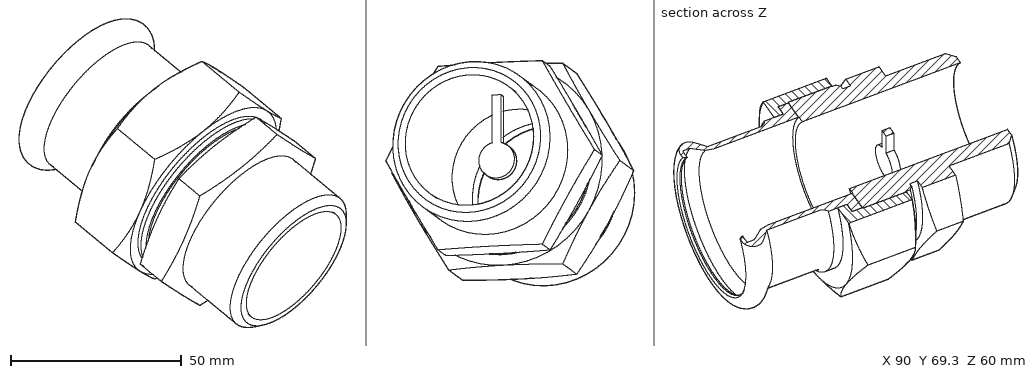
import cadquery as cq
import math


collar_start = 28.2
nut_start = 31.2
nut_lip_end = 34.2
joint = 37.8
nut_end = 52.2
rim_end = 54.5
hex_start = 57.0
hex_end = 68.0
total_length = 90.0

tube_diameter = 45.4
tube_bore = 42.3
collar_diameter = 48.0
collar_fillet_length = 2.2
bead_diameter = 53.0
bead_section_radius = 3.4
lip_diameter = 44.2
lip_taper_end = 0.9
mouth_diameter = 43.3
groove_diameter = 48.1
groove_start = 1.35
groove_end = 3.6
groove_cone_end = 7.2
bore_cone_end = 9.9

nut_flats = 60.0
adapter_flats = 54.9
nut_chamfer_angle = 30.0
adapter_chamfer_angle = 15.0
rim_diameter = 53.7
rim_chamfer = 1.1
neck_diameter = 49.8
spigot_diameter = 47.8
spigot_tip_diameter = 43.3
adapter_bore = 39.0

disc_diameter = 10.8
arm_width = 2.7
disc_thickness = 2.7
disc_start = hex_start


def cylinder(start, end, diameter):
    return cq.Workplane("YZ").workplane(offset=start).circle(diameter / 2).extrude(end - start)


def revolve_about_x(outline):
    return outline.close().revolve(360, (0, 0, 0), (1, 0, 0))


def chamfered_hexagon(start, end, flats, chamfer_angle):
    """Hexagon with corners on +Y and -Y; cones at chamfer_angle degrees from the end faces trim it."""
    corner_diameter = flats / math.cos(math.pi / 6)
    radial_chamfer = (corner_diameter - flats) / 2
    axial_chamfer = radial_chamfer * math.tan(math.radians(chamfer_angle))
    prism = cq.Workplane("YZ").workplane(offset=start).polygon(6, corner_diameter).extrude(end - start)
    envelope = revolve_about_x(
        cq.Workplane("XY")
        .moveTo(start, 0)
        .lineTo(start, flats / 2)
        .lineTo(start + axial_chamfer, corner_diameter / 2)
        .lineTo(end - axial_chamfer, corner_diameter / 2)
        .lineTo(end, flats / 2)
        .lineTo(end, 0)
    )
    return prism.intersect(envelope)


def make_tail():
    """Thin tube with a rolled bead and seal groove at its mouth and a flange held by the nut."""
    bead_center_radius = bead_diameter / 2 - bead_section_radius
    diagonal = bead_section_radius * math.sin(math.pi / 4)
    bead_cone_start = bead_section_radius + diagonal
    bead_cone_radius = bead_center_radius + diagonal
    bead_cone_end = bead_cone_start + bead_cone_radius - tube_diameter / 2
    mouth_radius = mouth_diameter / 2
    lip_drop = bead_center_radius - lip_diameter / 2
    lip_angle = math.asin(lip_drop / bead_section_radius)
    lip_start = bead_section_radius * (1 - math.cos(lip_angle))
    lip_middle_x = bead_section_radius * (1 - math.cos(lip_angle / 2))
    lip_middle_radius = bead_center_radius - bead_section_radius * math.sin(lip_angle / 2)
    return revolve_about_x(
        cq.Workplane("XY")
        .moveTo(lip_start, lip_diameter / 2)
        .threePointArc((lip_middle_x, lip_middle_radius), (0, bead_center_radius))
        .threePointArc((bead_section_radius - diagonal, bead_cone_radius), (bead_cone_start, bead_cone_radius))
        .lineTo(bead_cone_end, tube_diameter / 2)
        .lineTo(collar_start - collar_fillet_length, tube_diameter / 2)
        .tangentArcPoint((collar_start, collar_diameter / 2), relative=False)
        .lineTo(nut_lip_end, collar_diameter / 2)
        .lineTo(nut_lip_end, rim_diameter / 2)
        .lineTo(joint, rim_diameter / 2)
        .lineTo(joint, tube_bore / 2)
        .lineTo(bore_cone_end, tube_bore / 2)
        .lineTo(groove_cone_end, mouth_radius)
        .lineTo(groove_end, groove_diameter / 2)
        .lineTo(groove_start, groove_diameter / 2)
        .lineTo(groove_start, mouth_radius)
        .lineTo(lip_taper_end, mouth_radius)
    )


def make_nut():
    """Union nut whose front lip hooks over the tail flange."""
    nut = chamfered_hexagon(nut_start, nut_end, nut_flats, nut_chamfer_angle)
    nut = nut.cut(cylinder(nut_start, nut_lip_end, collar_diameter))
    return nut.cut(cylinder(nut_lip_end, nut_end, rim_diameter))


def make_center_disc():
    """Disc on the axis, hung from the top of the bore by a straight arm."""
    arm_length = (adapter_bore + neck_diameter) / 4
    arm = (
        cq.Workplane("YZ")
        .workplane(offset=disc_start)
        .center(0, arm_length / 2)
        .rect(arm_width, arm_length)
        .extrude(disc_thickness)
    )
    return cylinder(disc_start, disc_start + disc_thickness, disc_diameter).union(arm)


def make_adapter():
    """Male adapter with a rim inside the nut, a wrench hexagon and a chamfered spigot."""
    rim = cylinder(joint, rim_end, rim_diameter).faces(">X").chamfer(rim_chamfer)
    neck = cylinder(rim_end, hex_start, neck_diameter)
    wrench_hexagon = chamfered_hexagon(hex_start, hex_end, adapter_flats, adapter_chamfer_angle)
    tip_chamfer = (spigot_diameter - spigot_tip_diameter) / 2
    spigot = cylinder(hex_end, total_length, spigot_diameter).faces(">X").chamfer(tip_chamfer)
    shell = rim.union(neck).union(wrench_hexagon).union(spigot)
    shell = shell.cut(cylinder(joint, total_length, adapter_bore))
    return shell.union(make_center_disc())


tail = make_tail()
nut = make_nut()
adapter = make_adapter()

result = cq.Compound.makeCompound([tail.val(), nut.val(), adapter.val()])